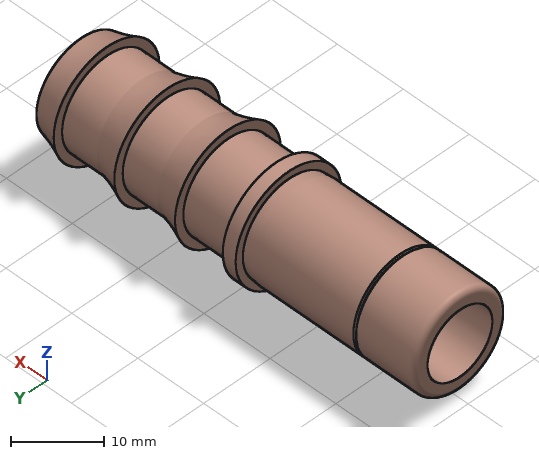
import cadquery as cq

length = 57.5
bore_radius = 4.9

insert_radius = 7.0
tip_fillet = 0.8
groove_center = 8.9
groove_width = 0.4
groove_depth = 0.25
neck_start = 24.45
neck_radius = 6.9

collar_start = 26.0
collar_width = 1.95
collar_radius = 8.0
collar_end = collar_start + collar_width

hose_radius = 6.7
barb_radius = collar_radius
barb_length = 3.9
barb_pitch = 9.2
barb_count = 3
flank_sag = 0.1


def insert_profile(outline):
    """Trace the insert from its rounded tip to the collar."""
    return (
        outline.lineTo(0, insert_radius - tip_fillet)
        .radiusArc((tip_fillet, insert_radius), tip_fillet)
        .lineTo(groove_center - groove_width / 2, insert_radius)
        .lineTo(groove_center, insert_radius - groove_depth)
        .lineTo(groove_center + groove_width / 2, insert_radius)
        .lineTo(neck_start, insert_radius)
        .lineTo(collar_start, neck_radius)
    )


def collar_profile(outline):
    """Trace the square-edged collar."""
    return (
        outline.lineTo(collar_start, collar_radius)
        .lineTo(collar_end, collar_radius)
        .lineTo(collar_end, hose_radius)
    )


def barb_profile(outline, barb_end):
    """Trace a stretch of hose tube and the barb that ends at barb_end."""
    barb_start = barb_end - barb_length
    flank_middle = (
        (barb_start + barb_end) / 2,
        (barb_radius + hose_radius) / 2 - flank_sag,
    )
    return (
        outline.lineTo(barb_start, hose_radius)
        .lineTo(barb_start, barb_radius)
        .threePointArc(flank_middle, (barb_end, hose_radius))
    )


profile = cq.Workplane("XY").moveTo(0, bore_radius)
profile = insert_profile(profile)
profile = collar_profile(profile)
for barbs_after in reversed(range(barb_count)):
    profile = barb_profile(profile, length - barbs_after * barb_pitch)
profile = profile.lineTo(length, bore_radius).close()

fitting = profile.revolve(360, (0, 0, 0), (1, 0, 0))
result = fitting.translate((-length / 2, 0, 0))